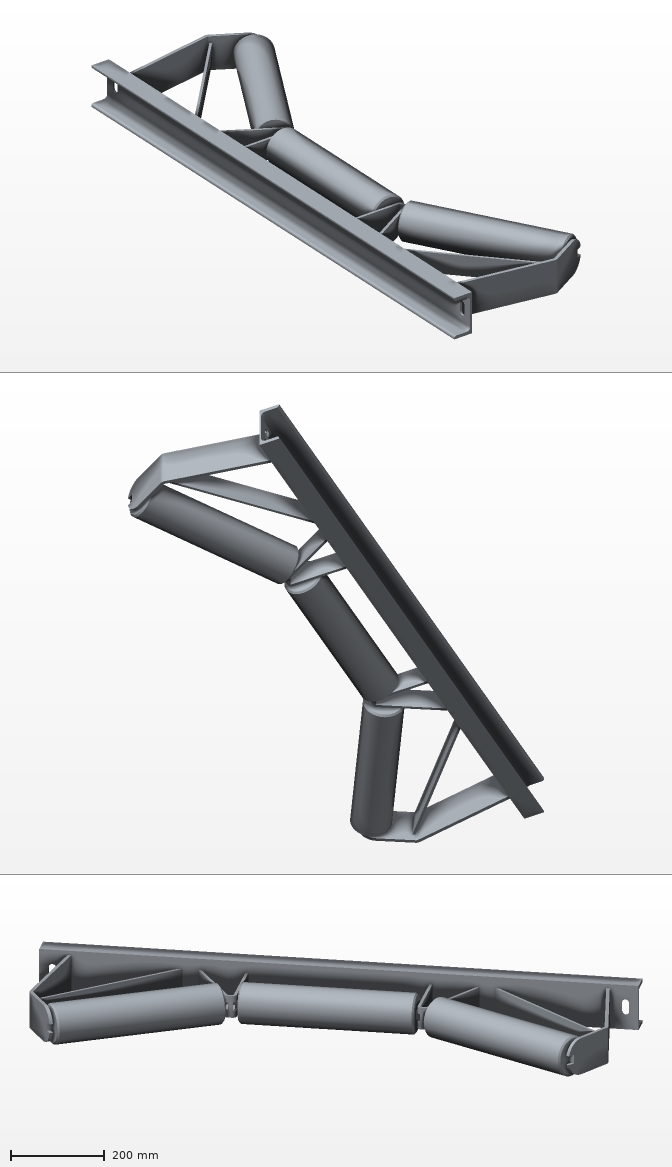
import cadquery as cq
import math

BASE_LENGTH = 1300.0
BASE_HEIGHT = 100.0
BASE_DEPTH = 47.0
WEB_THICKNESS = 4.5
FLANGE_THICKNESS = 8.0
ROOT_RADIUS = 9.0
FLANGE_TIP_RADIUS = 5.0
SLOT_WIDTH = 15.0
SLOT_LENGTH = 35.0
SLOT_END_DISTANCE = 29.0

ROLLER_DIAMETER = 90.0
ROLLER_LENGTH = 382.0
ROLLER_CHAMFER = 4.0
SPINDLE_HEIGHT = 22.0
SPINDLE_WIDTH = 20.0
TROUGH_ANGLE = 30.0
MIDDLE_ROLLER_Y = 166.0
SIDE_ROLLER_X = 400.0
SIDE_ROLLER_Y = 274.0

OUTER_WIDTH = 82.0
BRACKET_GAP = 5.0
TIP_ABOVE_AXIS = 29.0
OUTER_THICKNESS = 8.0
OUTER_BASE_X = 588.0
OUTER_LEAN_ANGLE = 9.5
OUTER_BEND_RADIUS = 14.0
INNER_THICKNESS = 6.0
INNER_WIDTH = 50.0
INNER_BEND_RADIUS = 9.0
BRACE_WIDTH = INNER_WIDTH
BRACE_THICKNESS = 5.8
BRACE_ANGLE = 42.0
BRACE_BASE_X = 339.0

BRACKET_FACE_DISTANCE = ROLLER_LENGTH / 2 + BRACKET_GAP
BRACKET_TIP_RADIUS = OUTER_WIDTH / 2
INNER_TOP_Y = MIDDLE_ROLLER_Y + TIP_ABOVE_AXIS

MIDDLE_FRAME = cq.Location(cq.Vector(0, MIDDLE_ROLLER_Y, 0))
SIDE_CENTER = (-SIDE_ROLLER_X, SIDE_ROLLER_Y)
SIDE_FRAME = cq.Location(cq.Vector(*SIDE_CENTER), cq.Vector(0, 0, 1), -TROUGH_ANGLE)



def line(normal_angle, point, offset=0.0):
    """Line in the XY plane through point, moved by offset along its normal: (nx, ny, distance)."""
    nx = math.cos(math.radians(normal_angle))
    ny = math.sin(math.radians(normal_angle))
    return nx, ny, nx * point[0] + ny * point[1] + offset


def crossing(first, second):
    """Point where two lines meet."""
    ax, ay, ad = first
    bx, by, bd = second
    determinant = ax * by - ay * bx
    return (ad * by - ay * bd) / determinant, (ax * bd - ad * bx) / determinant


def strip(outline, width):
    """Outline in XY extruded by width, centred on Z = 0."""
    return cq.Workplane("XY").polyline(outline).close().extrude(width / 2, both=True)


def round_bend(body, outside_corner, inside_corner, outside_radius, thickness):
    """Round both sides of a bend about one centre."""
    for corner, radius in (
        (outside_corner, outside_radius),
        (inside_corner, outside_radius - thickness),
    ):
        nearest = cq.selectors.NearestToPointSelector((corner[0], corner[1], 0))
        body = body.edges("|Z").edges(nearest).fillet(radius)
    return body


def mirrored(body):
    """Copy on the +X side."""
    return body.mirror("YZ")


def make_channel():
    half_height = BASE_HEIGHT / 2
    outer_block = cq.Workplane("XY").box(BASE_LENGTH, BASE_DEPTH, BASE_HEIGHT)
    outer_block = outer_block.translate((0, BASE_DEPTH / 2, 0))
    trough_depth = BASE_DEPTH - WEB_THICKNESS
    trough_height = BASE_HEIGHT - 2 * FLANGE_THICKNESS
    trough = cq.Workplane("XY").box(BASE_LENGTH, trough_depth, trough_height)
    trough = trough.translate((0, trough_depth / 2, 0)).edges("|X and >Y").fillet(ROOT_RADIUS)
    channel = outer_block.cut(trough)
    for side in (-1, 1):
        inside_edge = (0, 0, side * (half_height - FLANGE_THICKNESS))
        nearest = cq.selectors.NearestToPointSelector(inside_edge)
        channel = channel.edges("|X").edges(nearest).fillet(FLANGE_TIP_RADIUS)
    slot_x = BASE_LENGTH / 2 - SLOT_END_DISTANCE
    slots = (
        cq.Workplane("XZ")
        .pushPoints([(-slot_x, 0), (slot_x, 0)])
        .slot2D(SLOT_LENGTH, SLOT_WIDTH, 90)
        .extrude(-BASE_DEPTH)
    )
    return channel.cut(slots)


def spindle_bar(start, end):
    """Rectangular spindle bar along X from start to end."""
    section = cq.Workplane("YZ", origin=(start, 0, 0)).rect(SPINDLE_HEIGHT, SPINDLE_WIDTH)
    return section.extrude(end - start)


def make_roller(frame, left_bracket_thickness, right_bracket_thickness):
    """Roller whose spindle ends are flush with the far faces of the brackets that carry it."""
    shell = (
        cq.Workplane("YZ", origin=(-ROLLER_LENGTH / 2, 0, 0))
        .circle(ROLLER_DIAMETER / 2)
        .extrude(ROLLER_LENGTH)
        .edges()
        .chamfer(ROLLER_CHAMFER)
    )
    spindle = spindle_bar(
        -BRACKET_FACE_DISTANCE - left_bracket_thickness,
        BRACKET_FACE_DISTANCE + right_bracket_thickness,
    )
    roller = shell.union(spindle)
    return cq.Workplane(roller.val().moved(frame))


def spindle_slot(frame, end, thickness):
    """Cutter for the open slot that holds a spindle; end is -1 or +1 along the roller."""
    near = end * BRACKET_FACE_DISTANCE
    far = end * (BRACKET_FACE_DISTANCE + thickness)
    seat = spindle_bar(min(near, far), max(near, far))
    mouth_height = 2 * TIP_ABOVE_AXIS
    mouth = cq.Workplane("XY").box(thickness, mouth_height, SPINDLE_WIDTH)
    mouth = mouth.translate(((near + far) / 2, mouth_height / 2, 0))
    return cq.Workplane(seat.union(mouth).val().moved(frame))


def outer_leg_lines(inset):
    """Lower and upper leg lines, moved inward from the outside faces by inset."""
    outside_distance = BRACKET_FACE_DISTANCE + OUTER_THICKNESS
    lower = line(180 + OUTER_LEAN_ANGLE, (-OUTER_BASE_X, BASE_DEPTH), -inset)
    upper = line(180 - TROUGH_ANGLE, SIDE_CENTER, outside_distance - inset)
    return lower, upper


def round_tip_cutter():
    """Material to remove around the half-round tip of the upper leg."""
    arc_center_y = TIP_ABOVE_AXIS - BRACKET_TIP_RADIUS
    leg_x = -BRACKET_FACE_DISTANCE - OUTER_THICKNESS / 2
    corners = cq.Workplane("XY").box(2 * OUTER_THICKNESS, BRACKET_TIP_RADIUS, OUTER_WIDTH)
    corners = corners.translate((leg_x, arc_center_y + BRACKET_TIP_RADIUS / 2, 0))
    tip_disc = (
        cq.Workplane("YZ", origin=(leg_x, 0, 0))
        .center(arc_center_y, 0)
        .circle(BRACKET_TIP_RADIUS)
        .extrude(OUTER_THICKNESS, both=True)
    )
    return cq.Workplane(corners.cut(tip_disc).val().moved(SIDE_FRAME))


def make_outer_bracket():
    base = line(90, (0, BASE_DEPTH))
    tip = line(90 - TROUGH_ANGLE, SIDE_CENTER, TIP_ABOVE_AXIS)
    lower_outside, upper_outside = outer_leg_lines(0)
    lower_inside, upper_inside = outer_leg_lines(OUTER_THICKNESS)
    bend_outside = crossing(lower_outside, upper_outside)
    bend_inside = crossing(lower_inside, upper_inside)
    outline = [
        crossing(base, lower_outside),
        bend_outside,
        crossing(upper_outside, tip),
        crossing(upper_inside, tip),
        bend_inside,
        crossing(base, lower_inside),
    ]
    bracket = strip(outline, OUTER_WIDTH)
    bracket = round_bend(bracket, bend_outside, bend_inside, OUTER_BEND_RADIUS, OUTER_THICKNESS)
    bracket = bracket.cut(round_tip_cutter())
    return bracket.cut(spindle_slot(SIDE_FRAME, -1, OUTER_THICKNESS))


def inner_bracket_lines(inset):
    """Sloped leg, top and upright leg lines, moved inward from the roller sides by inset."""
    sloped = line(180 - TROUGH_ANGLE, SIDE_CENTER, -BRACKET_FACE_DISTANCE - inset)
    top = line(90, (0, INNER_TOP_Y), -inset)
    upright = line(0, (-BRACKET_FACE_DISTANCE, 0), -inset)
    return sloped, top, upright


def make_inner_bracket():
    base = line(90, (0, BASE_DEPTH))
    sloped_outside, top_outside, upright_outside = inner_bracket_lines(0)
    sloped_inside, top_inside, upright_inside = inner_bracket_lines(INNER_THICKNESS)
    bends = [
        (crossing(sloped_outside, top_outside), crossing(sloped_inside, top_inside)),
        (crossing(top_outside, upright_outside), crossing(top_inside, upright_inside)),
    ]
    outline = [
        crossing(base, sloped_outside),
        bends[0][0],
        bends[1][0],
        crossing(base, upright_outside),
        crossing(base, upright_inside),
        bends[1][1],
        bends[0][1],
        crossing(base, sloped_inside),
    ]
    bracket = strip(outline, INNER_WIDTH)
    for outside, inside in bends:
        bracket = round_bend(bracket, outside, inside, INNER_BEND_RADIUS, INNER_THICKNESS)
    bracket = bracket.cut(spindle_slot(SIDE_FRAME, 1, INNER_THICKNESS))
    return bracket.cut(spindle_slot(MIDDLE_FRAME, -1, INNER_THICKNESS))


def make_brace(outer_bracket):
    base = line(90, (0, BASE_DEPTH))
    lower_leg = outer_leg_lines(OUTER_THICKNESS)[0]
    top_face = line(90 - BRACE_ANGLE, (-BRACE_BASE_X, BASE_DEPTH))
    bottom_face = line(90 - BRACE_ANGLE, (-BRACE_BASE_X, BASE_DEPTH), -BRACE_THICKNESS)
    outline = [
        crossing(base, top_face),
        crossing(top_face, lower_leg),
        crossing(bottom_face, lower_leg),
        crossing(base, bottom_face),
    ]
    return strip(outline, BRACE_WIDTH).cut(outer_bracket)


channel = make_channel()
middle_roller = make_roller(MIDDLE_FRAME, INNER_THICKNESS, INNER_THICKNESS)
side_roller = make_roller(SIDE_FRAME, OUTER_THICKNESS, INNER_THICKNESS)
outer_bracket = make_outer_bracket()
inner_bracket = make_inner_bracket()
brace = make_brace(outer_bracket)

bodies = [channel.solids().val(), middle_roller.solids().val()]
for left_body in (side_roller, outer_bracket, inner_bracket, brace):
    bodies.append(left_body.solids().val())
    bodies.append(mirrored(left_body).solids().val())

result = cq.Compound.makeCompound(bodies)